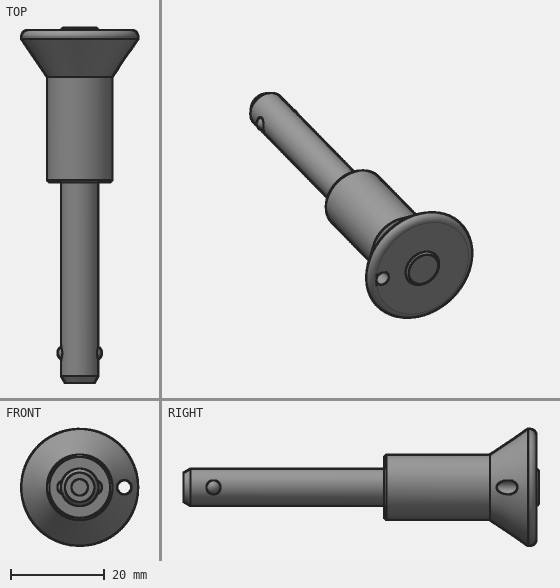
import cadquery as cq
import math


pin_diameter = 8.0
pin_length = 42.8
tip_chamfer_length = 1.5
tip_chamfer_angle = math.radians(30)
bore_diameter = 3.5
bore_depth = 5.0

ball_diameter = 3.0
ball_span = 9.5
ball_to_tip = 6.4

grip_diameter = 14.0
grip_chamfer = 0.5
head_diameter = 25.0
handle_length = 32.5
head_length = 10.0
rim_radius = 1.5
rim_band = 0.4
key_hole_diameter = 3.0
key_hole_offset = 9.5

button_diameter = 8.0
button_height = 0.5
button_chamfer = 0.5

pin_radius = pin_diameter / 2
tip_radius = pin_radius - tip_chamfer_length * math.tan(tip_chamfer_angle)
grip_radius = grip_diameter / 2
head_radius = head_diameter / 2
button_radius = button_diameter / 2
tip_y = -pin_length
flare_start_y = handle_length - head_length
rim_arc_start_y = handle_length - rim_radius
rim_start_y = rim_arc_start_y - rim_band
button_y = handle_length + button_height


def make_body():
    """Revolve the pin, grip, head and button about the Y axis."""
    rim_mid = rim_radius * math.sqrt(0.5)
    profile = (
        cq.Workplane("XY")
        .moveTo(0, tip_y)
        .lineTo(tip_radius, tip_y)
        .lineTo(pin_radius, tip_y + tip_chamfer_length)
        .lineTo(pin_radius, 0)
        .lineTo(grip_radius - grip_chamfer, 0)
        .lineTo(grip_radius, grip_chamfer)
        .lineTo(grip_radius, flare_start_y)
        .lineTo(head_radius, rim_start_y)
        .lineTo(head_radius, rim_arc_start_y)
        .threePointArc(
            (head_radius - rim_radius + rim_mid, rim_arc_start_y + rim_mid),
            (head_radius - rim_radius, handle_length),
        )
        .lineTo(button_radius, handle_length)
        .lineTo(button_radius - button_chamfer, button_y)
        .lineTo(0, button_y)
        .close()
    )
    return profile.revolve(360, (0, 0, 0), (0, 1, 0))


def seat_balls(body):
    """Set two opposed balls in radial pockets of the same diameter, sunk to each ball's equator."""
    ball_radius = ball_diameter / 2
    center_x = ball_span / 2 - ball_radius
    for side in (-1, 1):
        center = (side * center_x, tip_y + ball_to_tip, 0)
        plane = cq.Plane(origin=center, xDir=(0, 1, 0), normal=(side, 0, 0))
        pocket = cq.Workplane(plane).circle(ball_radius).extrude(ball_diameter)
        ball = cq.Workplane(plane).sphere(ball_radius)
        body = body.cut(pocket.cut(ball)).union(ball)
    return body


def axial_cylinder(diameter, x, start_y, length):
    """Cylinder along +Y from start_y, with its axis at the given X."""
    plane = cq.Plane(origin=(x, start_y, 0), xDir=(1, 0, 0), normal=(0, 1, 0))
    return cq.Workplane(plane).circle(diameter / 2).extrude(length)


def cut_tip_bore(body):
    """Blind bore in the pin tip."""
    return body.cut(axial_cylinder(bore_diameter, 0, tip_y, bore_depth))


def cut_key_hole(body):
    """Key-ring hole through the flared head."""
    return body.cut(axial_cylinder(key_hole_diameter, key_hole_offset, flare_start_y, head_length))


result = cut_key_hole(cut_tip_bore(seat_balls(make_body())))